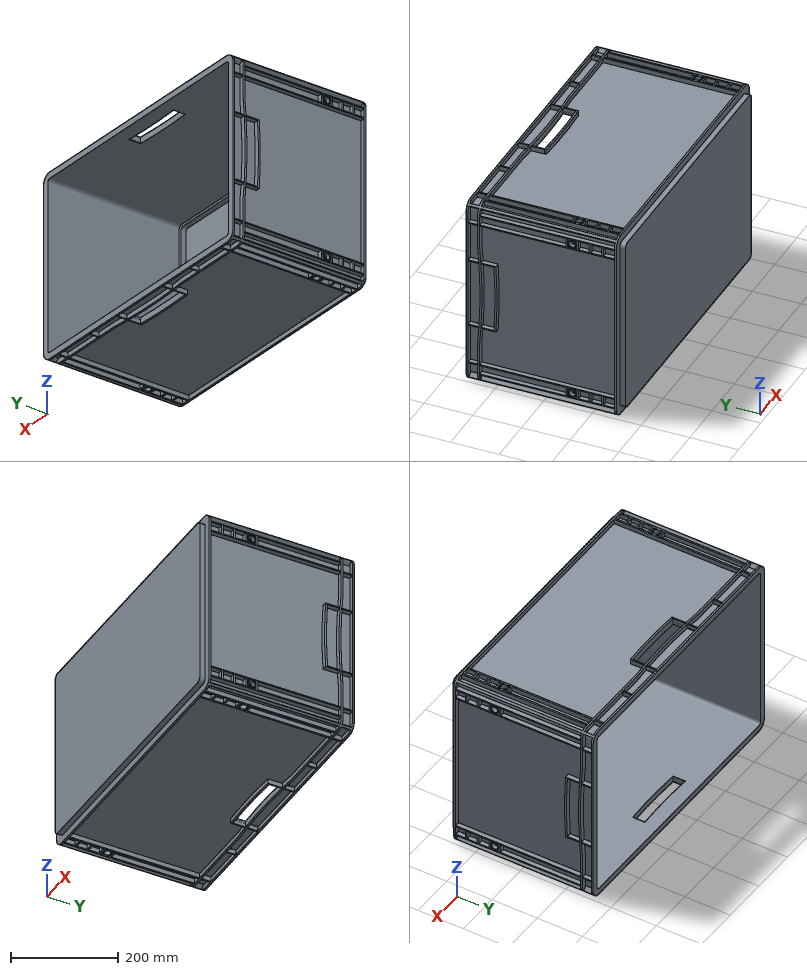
import cadquery as cq
import math

length = 598.0
width = 398.0
height = 320.0
corner_radius = 20.0
body_radius = 10.0

rib_height = 10.0
wall = 3.5
flange_depth = 304.5
flange_thickness = 4.0
foot_inset = 15.5
foot_radius = 10.0

rim_thickness = 4.0
lower_rim_depth = 24.0
divider_thickness = 2.5
divider_offset = 158.0

grip_half_width = 72.0
grip_depth = 63.5
arch_half_span = 104.5
arch_sag = 4.5

post_start = 21.0
post_width = 23.5
long_wall_rib = 3.5
short_wall_rib = 2.5
diagonal_rib = 5.5
ladder_depth = 205.0
rung_thickness = 3.5
boss_cell = 18.5
lower_cells = 3
boss_radius = 9.0
boss_hole_radius = 6.5

flange_end = flange_depth + flange_thickness
rim_band_end = lower_rim_depth + rim_thickness
arch_radius = (arch_half_span**2 + arch_sag**2) / (2 * arch_sag)
arch_mid_depth = lower_rim_depth + arch_sag
grip_lip_depth = grip_depth - rim_thickness
rib_reach = rib_height + wall / 2
cavity_inset = rib_height + wall


def slab(inset, radius, start, end):
    """Rounded rectangle, inset from the outer envelope, between two depths."""
    return (
        cq.Workplane("XZ", origin=(0, -start, 0))
        .rect(length - 2 * inset, width - 2 * inset)
        .extrude(end - start)
        .edges("|Y")
        .fillet(radius)
    )


def wall_bar(face, left, right, start, end):
    """Rectangular rib on the wall whose ribs reach z = face."""
    return (
        cq.Workplane("XY")
        .box(right - left, end - start, rib_reach, centered=False)
        .translate((left, -end, face - rib_reach))
    )


def sag_at(half_span):
    """Drop of the grip arch across a chord of the given half span."""
    return arch_radius - math.sqrt(arch_radius**2 - half_span**2)


def arched_strip(face, half_span, mid_depth, thickness, reach):
    """Strip between two equal arcs sagging toward the foot, running inward from z = face by reach."""
    top_mid = -mid_depth
    top_end = top_mid + sag_at(half_span)
    return (
        cq.Workplane("XY", origin=(0, 0, face - reach))
        .moveTo(-half_span, top_end)
        .threePointArc((0, top_mid), (half_span, top_end))
        .lineTo(half_span, top_end - thickness)
        .threePointArc((0, top_mid - thickness), (-half_span, top_end - thickness))
        .close()
        .extrude(reach)
    )


def post(face, half_span, rib):
    """Ladder-shaped post near the +X end of a wall, with a tubular boss in its first small cell."""
    outer = half_span - post_start
    inner = outer - post_width
    bars = wall_bar(face, outer - rib, outer, lower_rim_depth, flange_end)
    bars = bars.union(wall_bar(face, inner, inner + rib, 0, flange_end))

    second_rung = ladder_depth + rung_thickness + boss_cell
    rung_pitch = (flange_depth - second_rung) / lower_cells
    rungs = [ladder_depth] + [second_rung + i * rung_pitch for i in range(lower_cells)]
    for depth in rungs:
        bars = bars.union(wall_bar(face, inner, outer, depth, depth + rung_thickness))

    boss_depth = (ladder_depth + rung_thickness + second_rung) / 2
    boss = (
        cq.Workplane("XY", origin=((inner + outer) / 2, -boss_depth, face - rib_reach))
        .circle(boss_radius)
        .circle(boss_hole_radius)
        .extrude(rib_reach)
    )
    return bars.union(boss)


def wall_ribs(face, half_span, rib, dividers):
    """All ribs of one wall, drawn on the wall that faces +Z."""
    right_post = post(face, half_span, rib)
    ribs = right_post.union(right_post.mirror("YZ"))

    half_rib = divider_thickness / 2
    grip_frame_end = grip_depth - sag_at(grip_half_width)
    for side in (-1, 1):
        for offset in dividers:
            x = side * offset
            ribs = ribs.union(wall_bar(face, x - half_rib, x + half_rib, 0, rim_band_end))
        x = side * grip_half_width
        ribs = ribs.union(wall_bar(face, x - half_rib, x + half_rib, 0, grip_frame_end))

    ribs = ribs.union(arched_strip(face, arch_half_span, arch_mid_depth, rim_thickness, rib_reach))
    lip_half_span = grip_half_width + half_rib
    return ribs.union(arched_strip(face, lip_half_span, grip_lip_depth, rim_thickness, rib_reach))


def both_walls(shape, first_angle):
    """Place a +Z wall feature on a pair of opposite walls."""
    first = shape.rotate((0, 0, 0), (0, 1, 0), first_angle)
    return first.union(first.rotate((0, 0, 0), (0, 1, 0), 180))


def lower_rim():
    """Ring below the rim, interrupted where the arches replace it."""
    ring = slab(0, corner_radius, lower_rim_depth, rim_band_end)
    for face, angle in ((width / 2, 0), (length / 2, 90)):
        gap = wall_bar(face, -arch_half_span, arch_half_span, lower_rim_depth, rim_band_end)
        ring = ring.cut(both_walls(gap, angle))
    return ring


def diagonal_ribs():
    """One 45-degree rib in each vertical corner, ending on the rounded envelope."""
    center_x = length / 2 - corner_radius
    center_z = width / 2 - corner_radius
    ribs = cq.Workplane("XZ")
    for x_side in (-1, 1):
        for z_side in (-1, 1):
            rib = (
                cq.Workplane("XZ")
                .rect(2 * corner_radius, diagonal_rib)
                .extrude(flange_end)
                .rotate((0, 0, 0), (0, 1, 0), -45 * x_side * z_side)
                .translate((x_side * center_x, 0, z_side * center_z))
            )
            ribs = ribs.union(rib)
    return ribs.intersect(slab(0, corner_radius, 0, flange_end))


body = slab(rib_height, body_radius, 0, flange_end)
body = body.union(slab(0, corner_radius, 0, rim_thickness))
body = body.union(slab(0, corner_radius, flange_depth, flange_end))
body = body.union(slab(foot_inset, foot_radius, flange_depth, height))
body = body.union(lower_rim())

body = body.union(diagonal_ribs())
body = body.union(both_walls(wall_ribs(width / 2, length / 2, long_wall_rib, [divider_offset]), 0))
body = body.union(both_walls(wall_ribs(length / 2, width / 2, short_wall_rib, []), 90))

body = body.cut(slab(cavity_inset, body_radius - wall, 0, flange_depth))
body = body.cut(slab(foot_inset + wall, foot_radius - wall, flange_depth, height - wall))

opening_top = arch_mid_depth + rim_thickness
opening = arched_strip(
    width / 2,
    grip_half_width - divider_thickness / 2,
    opening_top,
    grip_lip_depth - opening_top,
    2 * cavity_inset,
)
result = body.cut(both_walls(opening, 0))